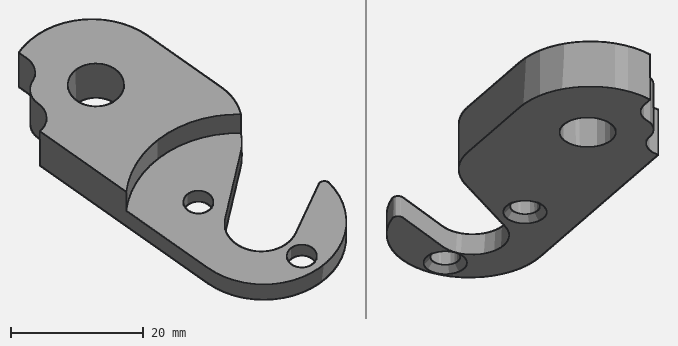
import cadquery as cq
import math

length = 60.0
width = 24.9
body_height = 8.0
plate_height = 3.6
half_width = width / 2
pivot_end_radius = 13.25
left_end = -pivot_end_radius

left_center_x = left_end + half_width
right_center_x = left_end + length - half_width

throat_radius = 5.5
throat_center = (right_center_x, -0.55)
throat_back_angle = 32.5
throat_front_angle = 23.0
shoulder_radius = 9.6
tip_radius = 0.9

scallop_radius = 3.85
ledge_y = -3.2

step_radius = 16.9
step_center = (31.15, -2.2)

pivot_diameter = 8.45
pin_diameter = 4.5
pin_countersink = 1.0
pin_centers = [(24.5, -3.85), (43.15, -1.15)]


def on_circle(center, radius, degrees):
    angle = math.radians(degrees)
    return (center[0] + radius * math.cos(angle), center[1] + radius * math.sin(angle))


def hook_tip(end_center):
    """Return the tip round's centre and its tangent points on the throat wall and the outer arc."""
    wall_offset = throat_radius + tip_radius
    foot = on_circle(throat_center, wall_offset, throat_front_angle)
    wall_direction = on_circle((0, 0), 1, throat_front_angle + 90)
    reach = half_width - tip_radius
    foot_x = foot[0] - end_center[0]
    foot_y = foot[1] - end_center[1]
    along = foot_x * wall_direction[0] + foot_y * wall_direction[1]
    travel = -along + math.sqrt(along**2 - foot_x**2 - foot_y**2 + reach**2)
    center = (foot[0] + travel * wall_direction[0], foot[1] + travel * wall_direction[1])
    wall_point = on_circle(center, tip_radius, throat_front_angle + 180)
    outer_angle = math.degrees(math.atan2(center[1] - end_center[1], center[0] - end_center[0]))
    outer_point = on_circle(end_center, half_width, outer_angle)
    tip_middle = on_circle(center, tip_radius, (throat_front_angle + 180 + outer_angle) / 2)
    return wall_point, tip_middle, outer_point, outer_angle


def outline():
    left_center = (left_center_x, 0)
    right_center = (right_center_x, 0)

    low_bump = (-scallop_radius, -half_width)
    hollow = (-scallop_radius, low_bump[1] + 2 * scallop_radius)
    high_bump_y = ledge_y - scallop_radius
    bump_rise = hollow[1] - high_bump_y
    bump_run = math.sqrt((2 * scallop_radius) ** 2 - bump_rise**2)
    high_bump = (hollow[0] - bump_run, high_bump_y)
    meet_angle = math.degrees(math.atan2(bump_rise, bump_run))
    ledge_angle = 180 - math.degrees(math.asin(ledge_y / pivot_end_radius))

    back_normal = math.radians(throat_back_angle)
    shoulder_y = half_width - shoulder_radius
    wall_distance = throat_radius + shoulder_radius
    shoulder_drop = (shoulder_y - throat_center[1]) * math.sin(back_normal)
    shoulder_x = throat_center[0] - (wall_distance + shoulder_drop) / math.cos(back_normal)
    shoulder = (shoulder_x, shoulder_y)
    shoulder_middle = (throat_back_angle + 90) / 2

    back_angle = throat_back_angle - 180
    throat_middle = (back_angle + throat_front_angle) / 2
    tip_wall, tip_middle, tip_outer, outer_angle = hook_tip(right_center)

    return (
        cq.Workplane("XY")
        .moveTo(0, -half_width)
        .threePointArc(
            on_circle(low_bump, scallop_radius, 45), on_circle(low_bump, scallop_radius, 90)
        )
        .threePointArc(
            on_circle(hollow, scallop_radius, (270 + 180 + meet_angle) / 2),
            on_circle(hollow, scallop_radius, 180 + meet_angle),
        )
        .threePointArc(
            on_circle(high_bump, scallop_radius, (meet_angle + 90) / 2),
            on_circle(high_bump, scallop_radius, 90),
        )
        .lineTo(*on_circle((0, 0), pivot_end_radius, ledge_angle))
        .threePointArc(
            on_circle((0, 0), pivot_end_radius, (ledge_angle + 180) / 2), (left_end, 0)
        )
        .threePointArc(on_circle(left_center, half_width, 135), (left_center_x, half_width))
        .lineTo(shoulder_x, half_width)
        .threePointArc(
            on_circle(shoulder, shoulder_radius, shoulder_middle),
            on_circle(shoulder, shoulder_radius, throat_back_angle),
        )
        .lineTo(*on_circle(throat_center, throat_radius, back_angle))
        .threePointArc(
            on_circle(throat_center, throat_radius, throat_middle),
            on_circle(throat_center, throat_radius, throat_front_angle),
        )
        .lineTo(*tip_wall)
        .threePointArc(tip_middle, tip_outer)
        .threePointArc(
            on_circle(right_center, half_width, (outer_angle - 90) / 2),
            (right_center_x, -half_width),
        )
        .close()
    )


def hook_recess():
    """Material above the thin plate: the step circle and everything to its right."""
    relief_height = body_height - plate_height
    plane = cq.Workplane("XY").workplane(offset=plate_height)
    disc = plane.center(*step_center).circle(step_radius).extrude(relief_height)
    beyond = plane.center(step_center[0], 0).rect(length, 2 * width).extrude(relief_height)
    right_half = beyond.translate((length / 2, 0, 0))
    return disc.union(right_half)


def holes():
    pivot = cq.Workplane("XY").circle(pivot_diameter / 2).extrude(body_height)
    pins = cq.Workplane("XY").pushPoints(pin_centers).circle(pin_diameter / 2).extrude(body_height)
    sinks = (
        cq.Workplane("XY")
        .pushPoints(pin_centers)
        .circle(pin_diameter / 2 + pin_countersink)
        .extrude(pin_countersink, taper=45)
    )
    return pivot.union(pins).union(sinks)


result = outline().extrude(body_height).cut(hook_recess()).cut(holes())